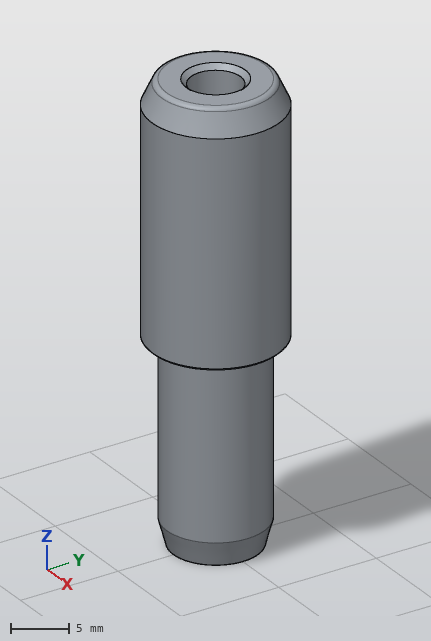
import cadquery as cq
import math

total_length = 45
head_length = 25.0
head_radius = 6.502
shank_radius = 5.0

head_taper_height = 2.48
head_taper_top_radius = 5.35
rim_fillet = 0.6

shoulder_chamfer = 0.22
foot_taper_height = 2.5
foot_radius = 4.3

hole_radius = 2.5
hole_mouth_radius = 3.0
hole_depth = 12.0
drill_point_angle = 118

shoulder_z = total_length - head_length


def make_body():
    """Revolve the half profile of the pin about Z."""
    profile = (
        cq.Workplane("XZ")
        .moveTo(0, 0)
        .lineTo(foot_radius, 0)
        .lineTo(shank_radius, foot_taper_height)
        .lineTo(shank_radius, shoulder_z)
        .lineTo(head_radius - shoulder_chamfer, shoulder_z)
        .lineTo(head_radius, shoulder_z + shoulder_chamfer)
        .lineTo(head_radius, total_length - head_taper_height)
        .lineTo(head_taper_top_radius, total_length)
        .lineTo(0, total_length)
        .close()
    )
    body = profile.revolve(360, (0, 0), (0, 1))
    return body.faces(">Z").edges().fillet(rim_fillet)


def make_hole():
    """Blind hole with a 45 degree mouth chamfer and a conical drill point."""
    mouth_depth = hole_mouth_radius - hole_radius
    point_height = hole_radius / math.tan(math.radians(drill_point_angle / 2))
    hole_end_z = total_length - hole_depth
    profile = (
        cq.Workplane("XZ")
        .moveTo(0, total_length)
        .lineTo(hole_mouth_radius, total_length)
        .lineTo(hole_radius, total_length - mouth_depth)
        .lineTo(hole_radius, hole_end_z)
        .lineTo(0, hole_end_z - point_height)
        .close()
    )
    return profile.revolve(360, (0, 0), (0, 1))


result = make_body().cut(make_hole())